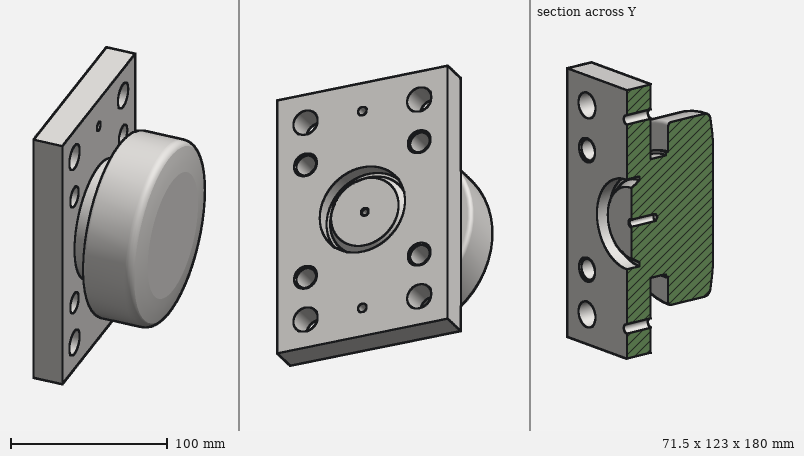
import cadquery as cq
import math

PLATE_THICKNESS = 20.0
PLATE_WIDTH = 120.0
PLATE_HEIGHT = 180.0

HOLE_COLUMN_Y = 40.0
END_ROW_Z = 70.0
INNER_ROW_Z = 40.0
BOLT_HOLE_DIAMETER = 17.0
THREAD_DIAMETER = 16.0
THREAD_CORE_DIAMETER = 13.8
PIN_HOLE_DIAMETER = 6.0
SPIGOT_BORE_DIAMETER = 60.0
SPIGOT_BORE_DEPTH = 10.4

SPIGOT_DIAMETER = 55.0
SPIGOT_START_X = 3.8
SPIGOT_FACE_DIAMETER = 47.5
SPIGOT_CHAMFER_ANGLE = 30.0

HUB_DIAMETER = 80.0
COLLAR_DIAMETER = 84.0
COLLAR_START_X = 32.5

ROLLER_DIAMETER = 123.0
ROLLER_START_X = 34.0
ROLLER_END_X = 71.5
ROLLER_BACK_FILLET = 3.0
SHOULDER_START_X = 64.0
CROWN_START_X = 69.2
CROWN_DIAMETER = 116.0
CROWN_BULGE = 0.2
FLAT_CENTRE_DIAMETER = 83.0

AXIS_HOLE_DIAMETER = 4.5
AXIS_COUNTERSINK_DIAMETER = 5.5
AXIS_HOLE_DEPTH = 20.0
DRILL_POINT_ANGLE = 118.0


def cylinder_x(diameter, start_x, end_x):
    """Cylinder along the X axis between two X positions."""
    return cq.Workplane("YZ", origin=(start_x, 0, 0)).circle(diameter / 2).extrude(end_x - start_x)


def drill_plate(plate, points, diameter):
    """Through holes of one diameter at (Y, Z) points."""
    drills = cq.Workplane("YZ").pushPoints(points).circle(diameter / 2).extrude(PLATE_THICKNESS)
    return plate.cut(drills)


def grid_points(row_z):
    """Four (Y, Z) points mirrored about both plate axes."""
    return [(side * HOLE_COLUMN_Y, end * row_z) for side in (-1, 1) for end in (-1, 1)]


def countersink_plate(plate, points):
    """Chamfer the threaded holes at the back face out to the thread diameter."""
    chamfer = (THREAD_DIAMETER - THREAD_CORE_DIAMETER) / 2
    for y, z in points:
        cone = cq.Solid.makeCone(
            THREAD_DIAMETER / 2,
            THREAD_CORE_DIAMETER / 2,
            chamfer,
            pnt=cq.Vector(0, y, z),
            dir=cq.Vector(1, 0, 0),
        )
        plate = plate.cut(cq.Workplane(cone))
    return plate


def make_plate():
    plate = cq.Workplane("YZ").rect(PLATE_WIDTH, PLATE_HEIGHT).extrude(PLATE_THICKNESS)
    plate = plate.cut(cylinder_x(SPIGOT_BORE_DIAMETER, 0, SPIGOT_BORE_DEPTH))
    plate = drill_plate(plate, grid_points(END_ROW_Z), BOLT_HOLE_DIAMETER)
    plate = drill_plate(plate, [(0, -END_ROW_Z), (0, END_ROW_Z)], PIN_HOLE_DIAMETER)
    thread_points = grid_points(INNER_ROW_Z)
    plate = drill_plate(plate, thread_points, THREAD_CORE_DIAMETER)
    return countersink_plate(plate, thread_points)


def make_pin():
    """Chamfered spigot, hub and collar."""
    chamfer_width = (SPIGOT_DIAMETER - SPIGOT_FACE_DIAMETER) / 2
    chamfer_length = chamfer_width / math.tan(math.radians(SPIGOT_CHAMFER_ANGLE))
    spigot = cylinder_x(SPIGOT_DIAMETER, SPIGOT_START_X, PLATE_THICKNESS)
    spigot = spigot.faces("<X").chamfer(chamfer_length, chamfer_width)
    hub = cylinder_x(HUB_DIAMETER, PLATE_THICKNESS, COLLAR_START_X)
    collar = cylinder_x(COLLAR_DIAMETER, COLLAR_START_X, ROLLER_START_X)
    return spigot.union(hub).union(collar)


def make_roller():
    """Revolved roller: round shoulder, then a crowned face around a flat centre."""
    rim_radius = ROLLER_DIAMETER / 2
    crown_radius = CROWN_DIAMETER / 2
    flat_radius = FLAT_CENTRE_DIAMETER / 2
    crown_middle = (
        (CROWN_START_X + ROLLER_END_X) / 2 + CROWN_BULGE,
        (crown_radius + flat_radius) / 2,
    )
    roller = (
        cq.Workplane("XY")
        .moveTo(ROLLER_START_X, 0)
        .lineTo(ROLLER_START_X, rim_radius)
        .lineTo(SHOULDER_START_X, rim_radius)
        .tangentArcPoint((CROWN_START_X, crown_radius), relative=False)
        .threePointArc(crown_middle, (ROLLER_END_X, flat_radius))
        .lineTo(ROLLER_END_X, 0)
        .close()
        .revolve(360, (0, 0, 0), (1, 0, 0))
    )
    return roller.faces("<X").edges().fillet(ROLLER_BACK_FILLET)


def make_axis_hole():
    """Countersunk drill shape with a conical point, entering at the spigot face."""
    radius = AXIS_HOLE_DIAMETER / 2
    countersink_radius = AXIS_COUNTERSINK_DIAMETER / 2
    countersink_depth = countersink_radius - radius
    point_length = radius / math.tan(math.radians(DRILL_POINT_ANGLE / 2))
    hole_end_x = SPIGOT_START_X + AXIS_HOLE_DEPTH
    return (
        cq.Workplane("XY")
        .moveTo(SPIGOT_START_X, 0)
        .lineTo(SPIGOT_START_X, countersink_radius)
        .lineTo(SPIGOT_START_X + countersink_depth, radius)
        .lineTo(hole_end_x, radius)
        .lineTo(hole_end_x + point_length, 0)
        .close()
        .revolve(360, (0, 0, 0), (1, 0, 0))
    )


result = make_plate().union(make_pin()).union(make_roller()).cut(make_axis_hole())